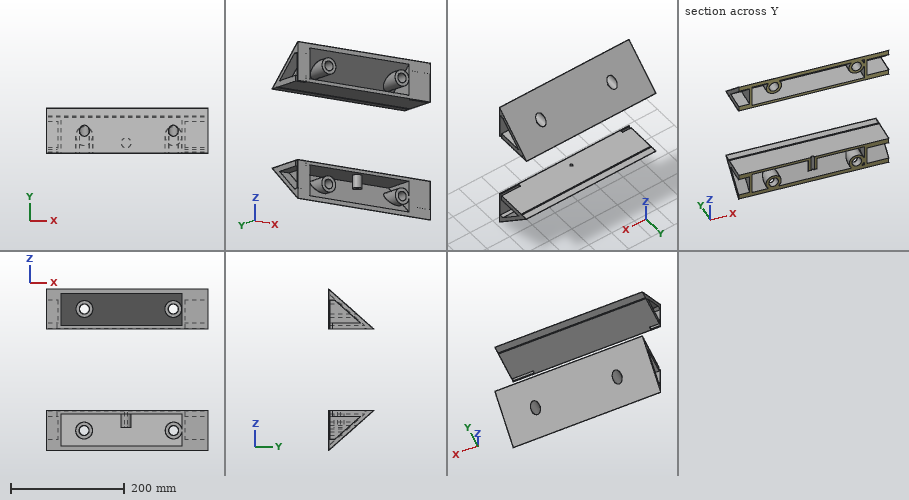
import cadquery as cq

length = 285.2
depth = 79.8
total_height = 285.2
wedge_height = 70.7

wall = 6.3
cavity_left = 26.0
cavity_right = 239.0

left_pocket_end = 20.5
left_slot_end = 18.8
right_pocket_start = 244.0
pocket_floor = 10.5
pocket_front_wall = 2.3
pocket_slope_wall = 7.7
pocket_top = 51.3
slot_width = 4.3

tube_diameter = 29.7
upper_bore_diameter = 17.5
lower_bore_diameter = 17.0
tube_z = 35.5
upper_tube_xs = (67.0, 223.8)
lower_tube_xs = (66.5, 224.5)

groove_y = 65.0
groove_width = 1.7
groove_depth = 0.9

boss_diameter = 17.5
boss_hole_diameter = 5.0
boss_length = 23.5
boss_x = 140.5
boss_y = 18.5

slope = wedge_height / depth
slope_length = (wedge_height**2 + depth**2) ** 0.5


def slope_z(y, inset=0.0):
    """Height at y of the sloping face moved inwards by inset."""
    return wedge_height - slope * y - inset * slope_length / depth


def slope_y(z, inset=0.0):
    """Y at height z of the sloping face moved inwards by inset."""
    return (slope_z(0, inset) - z) / slope


def prism(points, x_start, x_end):
    """Extrude a Y-Z outline from x_start to x_end."""
    return cq.Workplane("YZ", origin=(x_start, 0, 0)).polyline(points).close().extrude(x_end - x_start)


def block(x_start, x_end, y_start, y_end, z_start, z_end):
    """Axis-aligned box between two corners."""
    size = (x_end - x_start, y_end - y_start, z_end - z_start)
    return cq.Workplane("XY").box(*size, centered=False).translate((x_start, y_start, z_start))


def y_cylinders(diameter, xs):
    """Cylinders along Y through the full depth, at the tube positions."""
    plane = cq.Workplane("XZ").pushPoints([(x, tube_z) for x in xs])
    return plane.circle(diameter / 2).extrude(-depth)


def pocket(x_start, x_end):
    """Triangular pocket with a flat top, behind the front wall."""
    outline = [
        (pocket_front_wall, pocket_floor),
        (slope_y(pocket_floor, pocket_slope_wall), pocket_floor),
        (slope_y(pocket_top, pocket_slope_wall), pocket_top),
        (pocket_front_wall, pocket_top),
    ]
    return prism(outline, x_start, x_end)


def floor_slot(x_start, x_end):
    """Slot through a pocket floor, just behind the front wall."""
    slot_back = pocket_front_wall + slot_width
    return block(x_start, x_end, pocket_front_wall, slot_back, 0, pocket_floor)


def wedge_housing(tube_xs, bore_diameter):
    """Housing with its flat face on Z = 0 and its slope facing up and back."""
    wedge = prism([(0, 0), (depth, 0), (0, wedge_height)], 0, length)
    cavity_outline = [(0, wall), (slope_y(wall, wall), wall), (0, slope_z(0, wall))]
    housing = wedge.cut(prism(cavity_outline, cavity_left, cavity_right))

    housing = housing.union(y_cylinders(tube_diameter, tube_xs).intersect(wedge))
    housing = housing.cut(y_cylinders(bore_diameter, tube_xs))

    housing = housing.cut(pocket(0, left_pocket_end)).cut(floor_slot(0, left_slot_end))
    housing = housing.cut(pocket(right_pocket_start, length)).cut(floor_slot(right_pocket_start, length))

    groove_front = groove_y - groove_width / 2
    return housing.cut(block(0, length, groove_front, groove_front + groove_width, 0, groove_depth))


def add_floor_boss(housing):
    """Add the hollow boss that stands on the floor inside the main cavity."""
    floor_plane = cq.Workplane("XY", origin=(boss_x, boss_y, 0))
    boss = floor_plane.workplane(offset=wall).circle(boss_diameter / 2).extrude(boss_length)
    hole = floor_plane.circle(boss_hole_diameter / 2).extrude(wall + boss_length)
    return housing.union(boss).cut(hole)


upper_housing = wedge_housing(upper_tube_xs, upper_bore_diameter)
upper_housing = upper_housing.translate((0, 0, total_height - wedge_height))

lower_housing = add_floor_boss(wedge_housing(lower_tube_xs, lower_bore_diameter))
lower_housing = lower_housing.mirror("XY").translate((0, 0, wedge_height))

result = cq.Compound.makeCompound([upper_housing.val(), lower_housing.val()])